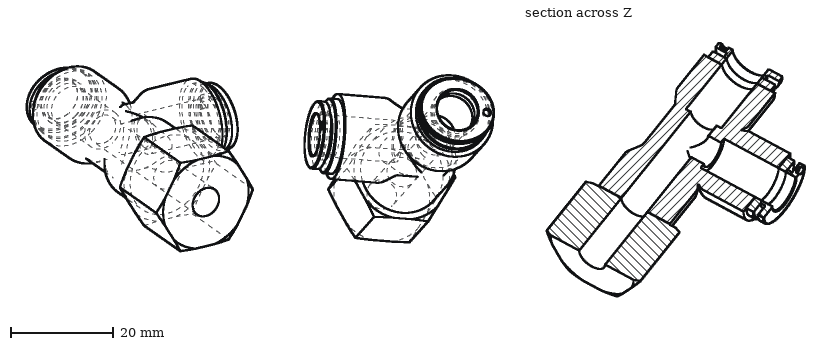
import cadquery as cq
import math


HEX_ACROSS_FLATS = 19.0
HEX_ACROSS_CORNERS = HEX_ACROSS_FLATS / math.cos(math.radians(30))
HEX_LENGTH = 15.0
HEX_CHAMFER_DIA = 19.4
HEX_CHAMFER_LENGTH = 0.5

ARM_LENGTH = 18.75
ARM_DIA = 16.7
WAIST_DIA = 13.1
WAIST_HALF_LENGTH = 5.2
FLARE_ANGLE = math.radians(30)
FLARE_RADIUS = 2.0

FLOW_DIA = 6.0
TUBE_DIA = 8.2
TUBE_STOP = 6.0

COLLAR_DIA = 14.7
COLLAR_LENGTH = 1.7

NECK_DIA = 9.6
NECK_LENGTH = 1.0
FLANGE_THICKNESS = 1.4
FLANGE_WIDTH = 14.9
FLANGE_HEIGHT = 13.1
MARK_HOLE_DIA = 1.5
MARK_HOLE_OFFSET = 6.0
MARK_HOLE_DEPTH = 0.8

EDGE_CHAMFER = 0.2

COLLAR_END = ARM_LENGTH + COLLAR_LENGTH
FLANGE_START = COLLAR_END + NECK_LENGTH
FLANGE_END = FLANGE_START + FLANGE_THICKNESS

TUBE_ARM_TURNS = (0, -90)


def turn(shape, angle):
    """Rotate a part about the Z axis."""
    return shape.rotate((0, 0, 0), (0, 0, 1), angle)


def cylinder(diameter, start, length):
    """Solid cylinder on the -X axis, from distance start outward."""
    return cq.Workplane("YZ", origin=(-start, 0, 0)).circle(diameter / 2).extrude(-length)


def tee_arm():
    """Arm along -X: waist, rounded conical flare and full-diameter end."""
    waist_r = WAIST_DIA / 2
    arm_r = ARM_DIA / 2
    arc_length = FLARE_RADIUS * math.sin(FLARE_ANGLE)
    arc_rise = FLARE_RADIUS * (1 - math.cos(FLARE_ANGLE))
    cone_rise = arm_r - waist_r - 2 * arc_rise
    cone_start = WAIST_HALF_LENGTH + arc_length
    cone_end = cone_start + cone_rise / math.tan(FLARE_ANGLE)
    return (
        cq.Workplane("XY")
        .lineTo(0, waist_r)
        .lineTo(-WAIST_HALF_LENGTH, waist_r)
        .tangentArcPoint((-cone_start, waist_r + arc_rise), relative=False)
        .lineTo(-cone_end, arm_r - arc_rise)
        .tangentArcPoint((-cone_end - arc_length, arm_r), relative=False)
        .lineTo(-ARM_LENGTH, arm_r)
        .lineTo(-ARM_LENGTH, 0)
        .close()
        .revolve(360, (0, 0, 0), (1, 0, 0))
    )


def make_tee():
    body = tee_arm().union(turn(tee_arm(), 180)).union(turn(tee_arm(), -90))
    body = body.cut(cylinder(FLOW_DIA, -ARM_LENGTH, 2 * ARM_LENGTH))
    body = body.cut(turn(cylinder(FLOW_DIA, 0, ARM_LENGTH), -90))
    for angle in TUBE_ARM_TURNS:
        socket = cylinder(TUBE_DIA, TUBE_STOP, ARM_LENGTH - TUBE_STOP)
        body = body.cut(turn(socket, angle))
    return body


def make_collar():
    ring = cylinder(COLLAR_DIA, ARM_LENGTH, COLLAR_LENGTH)
    ring = ring.faces("<X").chamfer(EDGE_CHAMFER)
    return ring.cut(cylinder(TUBE_DIA, ARM_LENGTH, COLLAR_LENGTH))


def make_sleeve():
    flange = (
        cq.Workplane("YZ", origin=(-FLANGE_START, 0, 0))
        .ellipse(FLANGE_WIDTH / 2, FLANGE_HEIGHT / 2)
        .extrude(-FLANGE_THICKNESS)
    )
    sleeve = flange.union(cylinder(NECK_DIA, COLLAR_END, NECK_LENGTH))
    sleeve = sleeve.cut(cylinder(TUBE_DIA, COLLAR_END, NECK_LENGTH + FLANGE_THICKNESS))
    sleeve = sleeve.faces("<X").edges().chamfer(EDGE_CHAMFER)
    mark_hole = cylinder(MARK_HOLE_DIA, FLANGE_END - MARK_HOLE_DEPTH, MARK_HOLE_DEPTH)
    return sleeve.cut(mark_hole.translate((0, -MARK_HOLE_OFFSET, 0)))


def make_hex_end():
    """Hexagon with its corners on the Y axis, both ends turned to a chamfer."""
    start = ARM_LENGTH
    end = start + HEX_LENGTH
    corner_r = HEX_ACROSS_CORNERS / 2
    face_r = HEX_CHAMFER_DIA / 2
    hexagon = (
        cq.Workplane("YZ", origin=(start, 0, 0))
        .polygon(6, HEX_ACROSS_CORNERS)
        .extrude(HEX_LENGTH)
    )
    turned = (
        cq.Workplane("XY")
        .polyline([
            (start, 0),
            (start, face_r),
            (start + HEX_CHAMFER_LENGTH, corner_r),
            (end - HEX_CHAMFER_LENGTH, corner_r),
            (end, face_r),
            (end, 0),
        ])
        .close()
        .revolve(360, (0, 0, 0), (1, 0, 0))
    )
    return hexagon.intersect(turned).cut(cylinder(FLOW_DIA, -end, HEX_LENGTH))


tee = make_tee()
hex_end = make_hex_end()
collars = [turn(make_collar(), angle) for angle in TUBE_ARM_TURNS]
sleeves = [turn(make_sleeve(), angle) for angle in TUBE_ARM_TURNS]

result = cq.Compound.makeCompound([
    tee.val(),
    hex_end.val(),
    *[collar.val() for collar in collars],
    *[sleeve.val() for sleeve in sleeves],
])